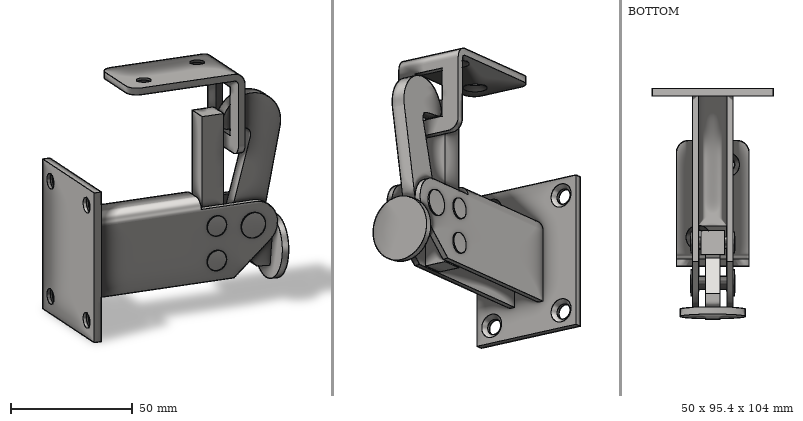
import cadquery as cq
import math


PLATE_WIDTH = 50.0
PLATE_HEIGHT = 65.0
PLATE_THICKNESS = 3.25
PLATE_HOLE_DIAMETER = 6.5
PLATE_HOLE_MARGIN = 7.5
PLATE_SINK_DIAMETER = 10.0

SINK_ANGLE = 90.0

CHANNEL_WIDTH = 16.75
CHANNEL_WALL = 2.5
CHANNEL_BEND_RADIUS = 5.0
CHANNEL_BOTTOM = 13.25
CHANNEL_TOP = 49.0
CHEEK_TOP = 45.0
WEB_END = 56.75
CHEEK_NOSE_RADIUS = 10.0
CHEEK_NOSE_Y = 81.4
CHEEK_SLOPE_START = 71.5

POST_SIZE = 9.8
POST_Y = 63.6
POST_BOTTOM = CHANNEL_BOTTOM
POST_TOP = 84.0

POST_RIVET_HEIGHTS = (22.0, 37.0)
POST_RIVET_SHANK = 4.75
POST_RIVET_HEAD = 8.75
PIVOT_Y = 80.25
PIVOT_Z = 35.0
PIVOT_SHANK = 5.5
PIVOT_HEAD = 11.0
HEAD_RIM = 0.6
HEAD_CROWN = 0.25
POST_RIVET_PLACES = [(POST_RIVET_SHANK, POST_Y, z) for z in POST_RIVET_HEIGHTS]
PIVOT_PLACE = (PIVOT_SHANK, PIVOT_Y, PIVOT_Z)

LEVER_THICKNESS = 6.0
HOOK_RADIUS = 13.5
HOOK_Y = 81.88
HOOK_Z = 77.0
NOSE_FILLET = 2.5
CROTCH_FILLET = 3.0
LEVER_BACK_ANGLE = 11.4
LEVER_TILT = 4.2
CROTCH = (82.55, 75.4)
HEEL = (69.95, 29.2)
TAIL_WIDTH = 15.0
TAIL_LENGTH = 6.0

DISC_DIAMETER = 27.0
DISC_THICKNESS = 3.0
DISC_Y = 92.6
DISC_Z = 21.9

STRIKE_WIDTH = 30.0
STRIKE_THICKNESS = 3.0
STRIKE_BEND_RADIUS = 5.0
STRIKE_CORNER_RADIUS = 5.0
STRIKE_BACK = 73.5
STRIKE_TOP = 104.0
STRIKE_LENGTH = 52.0
STRIKE_DROP = 36.0
STRIKE_HOLE_DIAMETER = 6.0
STRIKE_SINK_DIAMETER = 10.0
STRIKE_HOLE_X = 6.0
STRIKE_HOLE_END_GAP = 10.0
STRIKE_HOLE_SPACING = 30.0
WINDOW_WIDTH = 13.75
WINDOW_TOP = 95.75
WINDOW_BOTTOM = 74.75


def box(x_size, y_range, z_range):
    """Block centred on X = 0 between the given Y and Z limits."""
    y_size = y_range[1] - y_range[0]
    z_size = z_range[1] - z_range[0]
    return (
        cq.Workplane("XY")
        .box(x_size, y_size, z_size, centered=(True, False, False))
        .translate((0, y_range[0], z_range[0]))
    )


def cross_pin(diameter, length, y, z):
    """Cylinder along X, centred on X = 0."""
    return cq.Workplane("YZ").center(y, z).circle(diameter / 2).extrude(length / 2, both=True)


def cut_rivet_holes(body, rivet_places):
    """Drill snug cross holes for the given rivets."""
    for diameter, y, z in rivet_places:
        body = body.cut(cross_pin(diameter, PLATE_WIDTH, y, z))
    return body


def make_plate():
    """Mounting plate with four screw holes countersunk on the channel side."""
    hole_pitch_x = PLATE_WIDTH - 2 * PLATE_HOLE_MARGIN
    hole_pitch_z = PLATE_HEIGHT - 2 * PLATE_HOLE_MARGIN
    plate = box(PLATE_WIDTH, (0, PLATE_THICKNESS), (0, PLATE_HEIGHT))
    return (
        plate.faces(">Y").workplane(centerOption="CenterOfBoundBox")
        .rarray(hole_pitch_x, hole_pitch_z, 2, 2)
        .cskHole(PLATE_HOLE_DIAMETER, PLATE_SINK_DIAMETER, SINK_ANGLE)
    )


def make_cheek_profile():
    """Side outline of the channel: rounded nose, then a slope down to the lower edge."""
    nose_z = CHEEK_TOP - CHEEK_NOSE_RADIUS
    to_foot_y = CHEEK_SLOPE_START - CHEEK_NOSE_Y
    to_foot_z = CHANNEL_BOTTOM - nose_z
    foot_direction = math.atan2(to_foot_z, to_foot_y)
    tangent_direction = foot_direction + math.acos(CHEEK_NOSE_RADIUS / math.hypot(to_foot_y, to_foot_z))

    def on_nose(direction):
        return (
            CHEEK_NOSE_Y + CHEEK_NOSE_RADIUS * math.cos(direction),
            nose_z + CHEEK_NOSE_RADIUS * math.sin(direction),
        )

    return (
        cq.Workplane("YZ")
        .moveTo(PLATE_THICKNESS, CHANNEL_BOTTOM)
        .lineTo(PLATE_THICKNESS, CHANNEL_TOP)
        .lineTo(WEB_END, CHANNEL_TOP)
        .lineTo(WEB_END, CHEEK_TOP)
        .lineTo(CHEEK_NOSE_Y, CHEEK_TOP)
        .threePointArc(on_nose(0), on_nose(tangent_direction))
        .lineTo(CHEEK_SLOPE_START, CHANNEL_BOTTOM)
        .close()
        .extrude(CHANNEL_WIDTH / 2, both=True)
    )


def make_bracket():
    """Mounting plate with the welded channel."""
    channel_end = CHEEK_NOSE_Y + CHEEK_NOSE_RADIUS
    length = (PLATE_THICKNESS, channel_end)
    outside = box(CHANNEL_WIDTH, length, (CHANNEL_BOTTOM, CHANNEL_TOP))
    outside = outside.edges("|Y and >Z").fillet(CHANNEL_BEND_RADIUS)
    inside = box(CHANNEL_WIDTH - 2 * CHANNEL_WALL, length, (CHANNEL_BOTTOM, CHANNEL_TOP - CHANNEL_WALL))
    inside = inside.edges("|Y and >Z").fillet(CHANNEL_BEND_RADIUS - CHANNEL_WALL)
    channel = outside.cut(inside).intersect(make_cheek_profile())
    channel = cut_rivet_holes(channel, POST_RIVET_PLACES + [PIVOT_PLACE])
    return make_plate().union(channel)


def make_post():
    """Square bar standing in the channel, held by two rivets."""
    post_y = (POST_Y - POST_SIZE / 2, POST_Y + POST_SIZE / 2)
    return cut_rivet_holes(box(POST_SIZE, post_y, (POST_BOTTOM, POST_TOP)), POST_RIVET_PLACES)


def make_rivet(shank_diameter, head_diameter, y, z):
    """Cross rivet with a low crowned head on the outer face of each cheek."""
    shank = shank_diameter / 2
    head = head_diameter / 2
    head_base = CHANNEL_WIDTH / 2
    rim = head_base + HEAD_RIM
    crown_tip = rim + HEAD_CROWN
    crown_radius = (head ** 2 + HEAD_CROWN ** 2) / (2 * HEAD_CROWN)
    half_angle = math.asin(head / crown_radius) / 2
    crown_mid = crown_tip - crown_radius * (1 - math.cos(half_angle))
    crown_mid_radius = crown_radius * math.sin(half_angle)
    return (
        cq.Workplane("XY")
        .moveTo(-crown_tip, 0)
        .threePointArc((-crown_mid, crown_mid_radius), (-rim, head))
        .lineTo(-head_base, head)
        .lineTo(-head_base, shank)
        .lineTo(head_base, shank)
        .lineTo(head_base, head)
        .lineTo(rim, head)
        .threePointArc((crown_mid, crown_mid_radius), (crown_tip, 0))
        .close()
        .revolve(360, (0, 0, 0), (1, 0, 0))
        .translate((0, y, z))
    )


def make_lever():
    """Hook, arm and tail in one flat piece, with the thumb disc on the tail."""
    tilt = math.radians(LEVER_TILT)
    back = math.radians(LEVER_BACK_ANGLE)

    def disc_frame(outward, upward):
        """Point measured from the disc centre along its axis and up its face."""
        return (
            DISC_Y + outward * math.cos(tilt) + upward * math.sin(tilt),
            DISC_Z - outward * math.sin(tilt) + upward * math.cos(tilt),
        )

    def on_hook(direction):
        return (HOOK_Y + HOOK_RADIUS * math.cos(direction), HOOK_Z + HOOK_RADIUS * math.sin(direction))

    along_y = -math.cos(tilt)
    along_z = math.sin(tilt)
    from_centre_y = CROTCH[0] - HOOK_Y
    from_centre_z = CROTCH[1] - HOOK_Z
    projection = from_centre_y * along_y + from_centre_z * along_z
    gap_squared = from_centre_y ** 2 + from_centre_z ** 2 - HOOK_RADIUS ** 2
    reach = -projection + math.sqrt(projection ** 2 - gap_squared)
    nose = (CROTCH[0] + reach * along_y, CROTCH[1] + reach * along_z)

    back_start = on_hook(-back)
    disc_face = -DISC_THICKNESS / 2
    tail_top = disc_frame(disc_face, TAIL_WIDTH / 2)
    gap_y = back_start[0] - tail_top[0]
    gap_z = back_start[1] - tail_top[1]
    back_length = (gap_z * math.cos(tilt) + gap_y * math.sin(tilt)) / math.cos(back - tilt)
    back_end = (back_start[0] - back_length * math.sin(back), back_start[1] - back_length * math.cos(back))

    lever = (
        cq.Workplane("YZ")
        .moveTo(*back_end)
        .lineTo(*back_start)
        .threePointArc(on_hook(math.pi / 2), nose)
        .lineTo(*CROTCH)
        .lineTo(*HEEL)
        .lineTo(*disc_frame(disc_face - TAIL_LENGTH, -TAIL_WIDTH / 2))
        .lineTo(*disc_frame(disc_face, -TAIL_WIDTH / 2))
        .lineTo(*tail_top)
        .close()
        .extrude(LEVER_THICKNESS / 2, both=True)
    )
    for corner, radius in ((nose, NOSE_FILLET), (CROTCH, CROTCH_FILLET)):
        lever = lever.edges(cq.NearestToPointSelector((0, *corner))).fillet(radius)
    disc_plane = cq.Plane(
        origin=(0, *disc_frame(disc_face, 0)),
        xDir=(1, 0, 0),
        normal=(0, math.cos(tilt), -math.sin(tilt)),
    )
    disc = cq.Workplane(disc_plane).circle(DISC_DIAMETER / 2).extrude(DISC_THICKNESS)
    return cut_rivet_holes(lever.union(disc), [PIVOT_PLACE])


def make_strike():
    """Bent angle with screw holes in the top leaf and a window for the hook in the back leaf."""
    front = STRIKE_BACK - STRIKE_LENGTH
    bottom = STRIKE_TOP - STRIKE_DROP
    outside = box(STRIKE_WIDTH, (front, STRIKE_BACK), (bottom, STRIKE_TOP))
    outside = outside.edges("|X and >Y and >Z").fillet(STRIKE_BEND_RADIUS)
    inside = box(
        STRIKE_WIDTH,
        (front, STRIKE_BACK - STRIKE_THICKNESS),
        (bottom, STRIKE_TOP - STRIKE_THICKNESS),
    )
    inside = inside.edges("|X and >Y and >Z").fillet(STRIKE_BEND_RADIUS - STRIKE_THICKNESS)
    strike = outside.cut(inside)
    strike = strike.edges("|Z and <Y").fillet(STRIKE_CORNER_RADIUS)
    strike = strike.edges("|Y and <Z").fillet(STRIKE_CORNER_RADIUS)

    first_hole_y = front + STRIKE_HOLE_END_GAP
    underside = cq.Plane(
        origin=(0, 0, STRIKE_TOP - STRIKE_THICKNESS),
        xDir=(1, 0, 0),
        normal=(0, 0, -1),
    )
    hole_places = [
        (STRIKE_HOLE_X, -first_hole_y),
        (-STRIKE_HOLE_X, -first_hole_y - STRIKE_HOLE_SPACING),
    ]
    strike = (
        cq.Workplane(underside).add(strike).pushPoints(hole_places)
        .cskHole(STRIKE_HOLE_DIAMETER, STRIKE_SINK_DIAMETER, SINK_ANGLE, depth=STRIKE_THICKNESS)
    )
    window = box(
        WINDOW_WIDTH,
        (STRIKE_BACK - STRIKE_THICKNESS, STRIKE_BACK),
        (WINDOW_BOTTOM, WINDOW_TOP),
    )
    return strike.cut(window)


bracket = make_bracket()
post = make_post()
post_rivets = [make_rivet(POST_RIVET_SHANK, POST_RIVET_HEAD, POST_Y, z) for z in POST_RIVET_HEIGHTS]
pivot_rivet = make_rivet(PIVOT_SHANK, PIVOT_HEAD, PIVOT_Y, PIVOT_Z)
lever = make_lever()
strike = make_strike()

bodies = [bracket, post, *post_rivets, pivot_rivet, lever, strike]
result = cq.Compound.makeCompound([body.solids().val() for body in bodies])